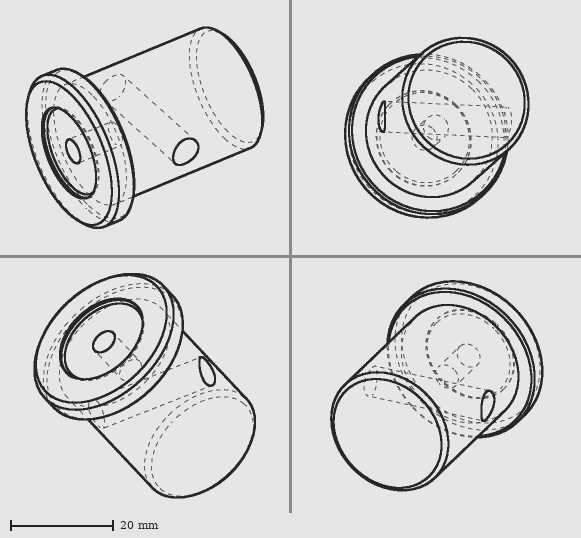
import cadquery as cq
import math

TOTAL_LENGTH = 38.1
SHANK_DIAMETER = 25.4
SHANK_END_CHAMFER = 1.0

HEAD_DIAMETER = 32.0
HEAD_THICKNESS = 5.0
HEAD_OUTER_CHAMFER = 1.0
HEAD_INNER_CHAMFER = 0.5

RECESS_DIAMETER = 19.0
RECESS_DEPTH = 1.0
RECESS_FLOOR_TAPER = 0.5

DRILL_DIAMETER = 5.0
DRILL_DEPTH = 10.0
DRILL_POINT_ANGLE = 118.0

CROSS_HOLE_DIAMETER = 6.0
CROSS_HOLE_Y = TOTAL_LENGTH / 2


def revolve_about_y(points):
    """Turn a closed (radius, Y) outline around the Y axis."""
    return cq.Workplane("XY").polyline(points).close().revolve(360, (0, 0, 0), (0, 1, 0))


def make_body():
    """Headed pin with chamfered rims."""
    head_radius = HEAD_DIAMETER / 2
    shank_radius = SHANK_DIAMETER / 2
    return revolve_about_y([
        (0, 0),
        (head_radius - HEAD_OUTER_CHAMFER, 0),
        (head_radius, HEAD_OUTER_CHAMFER),
        (head_radius, HEAD_THICKNESS - HEAD_INNER_CHAMFER),
        (head_radius - HEAD_INNER_CHAMFER, HEAD_THICKNESS),
        (shank_radius, HEAD_THICKNESS),
        (shank_radius, TOTAL_LENGTH - SHANK_END_CHAMFER),
        (shank_radius - SHANK_END_CHAMFER, TOTAL_LENGTH),
        (0, TOTAL_LENGTH),
    ])


def make_face_cutter():
    """Taper-floored recess and the cone-bottomed drilled hole below it."""
    recess_radius = RECESS_DIAMETER / 2
    drill_radius = DRILL_DIAMETER / 2
    drill_end = RECESS_DEPTH + DRILL_DEPTH
    point_length = drill_radius / math.tan(math.radians(DRILL_POINT_ANGLE / 2))
    return revolve_about_y([
        (0, 0),
        (recess_radius, 0),
        (recess_radius, RECESS_DEPTH - RECESS_FLOOR_TAPER),
        (recess_radius - RECESS_FLOOR_TAPER, RECESS_DEPTH),
        (drill_radius, RECESS_DEPTH),
        (drill_radius, drill_end),
        (0, drill_end + point_length),
    ])


def make_cross_hole_cutter():
    """Cylinder along X, long enough to pass through the shank."""
    return (
        cq.Workplane("YZ")
        .center(CROSS_HOLE_Y, 0)
        .circle(CROSS_HOLE_DIAMETER / 2)
        .extrude(SHANK_DIAMETER, both=True)
    )


result = make_body().cut(make_face_cutter()).cut(make_cross_hole_cutter())